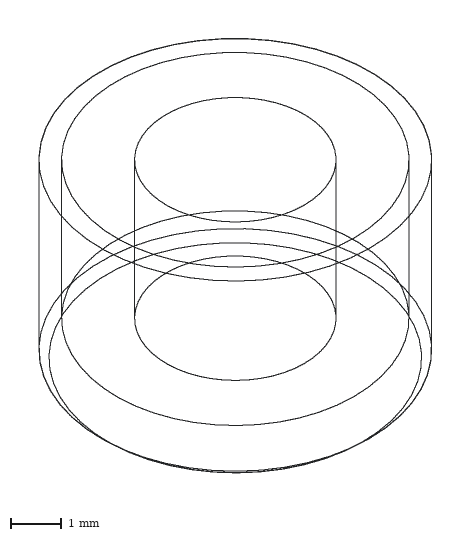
import cadquery as cq

outer_diameter = 7.8
bore_diameter = 6.9
post_diameter = 4.0
height = 5.0
floor_thickness = 1.0
bottom_chamfer = 0.2

groove_depth = height - floor_thickness


def make_body():
    """Solid cylinder with a chamfered bottom edge."""
    body = cq.Workplane("XY").circle(outer_diameter / 2).extrude(height)
    return body.faces("<Z").edges().chamfer(bottom_chamfer)


def make_groove():
    """Ring-shaped volume between the cup wall and the post, open at the top."""
    ring = cq.Workplane("XY").workplane(offset=floor_thickness)
    ring = ring.circle(bore_diameter / 2).circle(post_diameter / 2)
    return ring.extrude(groove_depth)


result = make_body().cut(make_groove())